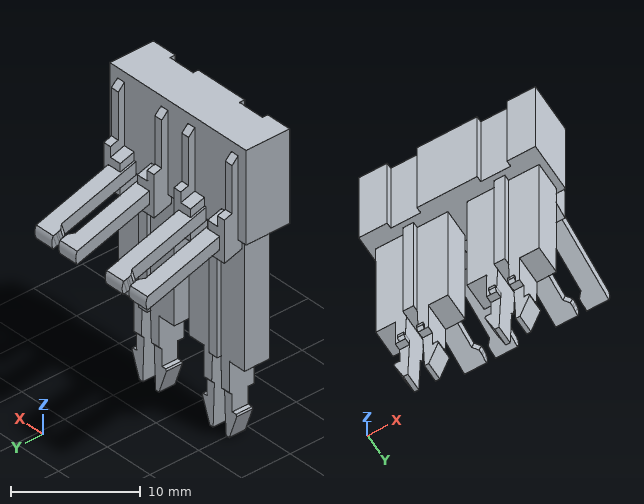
import cadquery as cq
import math

total_height = 28.6

housing_width = 15.95
housing_depth = 4.5
housing_height = 8.87
housing_bottom = total_height - housing_height
groove_width = 2.7
groove_depth = 0.55
groove_offset = 4.05

unit_offset = 4.12

leg_width = 6.52
leg_front = 1.55
leg_back = 4.12
leg_bottom = 7.45
rib_width = 0.97
rib_front = 1.0

pin_inner = rib_width / 2
pin_outer = 1.5
tip_inner = 0.75
tip_outer = 1.15
barb_reach = 2.03
barb_top = 2.6
barb_nose = 0.17
shoulder_height = 4.23
shoulder_chamfer = 0.25
shank_front = 2.17
shank_back = 3.83

bump_outer = 1.15
bump_top = 4.85
bump_reach = 0.25
bump_face = 0.35

block_inner = 1.0
block_step = 2.15
block_outer = 2.95
block_back = 5.92
ledge_top = 21.25
block_top = 22.25
block_bottom = 18.2
pad_back = 5.12
pad_top = 27.0

arm_slope = math.radians(17.2)
arm_inner = 0.8
arm_outer = 2.4
arm_thickness = 1.2
arm_root = leg_back
arm_end = 13.47
arm_end_bulge = 0.15
arm_top_at_block = 20.45
hook_reach = 0.4
hook_bulge = 0.03
hook_length = 1.25
hook_ramp = 0.45


def box(x0, x1, y0, y1, z0, z1):
    return cq.Workplane("XY").box(x1 - x0, y1 - y0, z1 - z0, centered=False).translate((x0, y0, z0))


def side_plate(outline, x0, x1):
    """Extrude a closed (Y, Z) outline from x0 to x1."""
    return outline.extrude(x1 - x0).translate((x0, 0, 0))


def slope_line(y, z_at_block):
    """Height at y of a line with the arm slope that passes z_at_block at the block's back."""
    return z_at_block + (block_back - y) * math.tan(arm_slope)


def housing():
    body = box(-housing_width / 2, housing_width / 2, 0, housing_depth, housing_bottom, total_height)
    for centre in (-groove_offset, groove_offset):
        x0 = centre - groove_width / 2
        body = body.cut(box(x0, x0 + groove_width, 0, groove_depth, housing_bottom, total_height))
    return body


def leg():
    slab = box(-leg_width / 2, leg_width / 2, leg_front, leg_back, leg_bottom, housing_bottom)
    rib = box(-rib_width / 2, rib_width / 2, rib_front, housing_depth, leg_bottom, housing_bottom)
    return slab.union(rib)


def pin():
    """Right-hand pin: barbed in the XZ plane, narrowed to a shank in the YZ plane."""
    barbed = (
        cq.Workplane("XZ")
        .moveTo(pin_inner, leg_bottom)
        .lineTo(tip_inner, 0)
        .lineTo(tip_outer, 0)
        .lineTo(barb_reach, barb_top - barb_nose)
        .lineTo(barb_reach - barb_nose / 2, barb_top)
        .lineTo(pin_outer, barb_top)
        .lineTo(pin_outer, leg_bottom)
        .close()
        .extrude(-housing_depth)
    )
    stepped = (
        cq.Workplane("YZ")
        .moveTo(leg_front, leg_bottom)
        .lineTo(leg_front, shoulder_height)
        .lineTo(shank_front, shoulder_height)
        .lineTo(shank_front, 0)
        .lineTo(shank_back, 0)
        .lineTo(shank_back, shoulder_height)
        .lineTo(leg_back, shoulder_height + shoulder_chamfer)
        .lineTo(leg_back, leg_bottom)
        .close()
    )
    return barbed.intersect(side_plate(stepped, 0, barb_reach)).union(bump())


def bump():
    outline = (
        cq.Workplane("YZ")
        .moveTo(shank_front, bump_top)
        .lineTo(leg_front - bump_reach, bump_top)
        .lineTo(leg_front - bump_reach, bump_top - bump_face)
        .lineTo(leg_front, shoulder_height)
        .lineTo(shank_front, shoulder_height)
        .close()
    )
    taper = (tip_inner - pin_inner) / leg_bottom
    inner = tip_inner - taper * bump_top
    return side_plate(outline, inner, bump_outer)


def sloped_block(top, x0, x1):
    """Block whose top and bottom follow the arm slope, with its top given at the rear face."""
    outline = (
        cq.Workplane("YZ")
        .moveTo(leg_back, slope_line(leg_back, top))
        .lineTo(block_back, top)
        .lineTo(block_back, block_bottom)
        .lineTo(leg_back, slope_line(leg_back, block_bottom))
        .close()
    )
    return side_plate(outline, x0, x1)


def block():
    """Right-hand support: a lower inner ledge and a taller outer block under a chamfered pad."""
    pad = (
        cq.Workplane("YZ")
        .moveTo(leg_back, block_top)
        .lineTo(pad_back, block_top)
        .lineTo(pad_back, pad_top)
        .lineTo(leg_back, pad_top + pad_back - leg_back)
        .close()
    )
    ledge = sloped_block(ledge_top, block_inner, block_step)
    outer = sloped_block(block_top, block_step, block_outer)
    return ledge.union(outer).union(side_plate(pad, block_step, block_outer))


def arm():
    """Right-hand sloping arm with an inward hook at its rounded free end."""
    drop = arm_thickness / math.cos(arm_slope)
    corner = arm_end - arm_end_bulge
    corner_top = slope_line(corner, arm_top_at_block)
    root_top = slope_line(arm_root, arm_top_at_block)
    side = (
        cq.Workplane("YZ")
        .moveTo(arm_root, root_top)
        .lineTo(corner, corner_top)
        .threePointArc((arm_end, corner_top - drop / 2), (corner, corner_top - drop))
        .lineTo(arm_root, root_top - drop)
        .close()
    )
    hook_tip = arm_inner - hook_reach
    bar = side_plate(side, hook_tip - hook_bulge, arm_outer)

    arm_plane = cq.Plane(
        origin=(0, corner, corner_top),
        xDir=(1, 0, 0),
        normal=(0, math.sin(arm_slope), math.cos(arm_slope)),
    )
    beyond_end = drop
    beyond_root = arm_end
    plan = (
        cq.Workplane(arm_plane)
        .moveTo(arm_outer, -beyond_root)
        .lineTo(arm_inner, -beyond_root)
        .lineTo(arm_inner, -hook_length)
        .lineTo(hook_tip, -hook_length + hook_ramp)
        .threePointArc((hook_tip - hook_bulge, -hook_length / 4), (hook_tip, 0))
        .lineTo(hook_tip, beyond_end)
        .lineTo(arm_outer, beyond_end)
        .close()
        .extrude(housing_depth, both=True)
    )
    return bar.intersect(plan)


def contact_unit():
    half = pin().union(block()).union(arm())
    return leg().union(half).union(half.mirror("YZ"))


result = housing()
for unit_centre in (-unit_offset, unit_offset):
    result = result.union(contact_unit().translate((unit_centre, 0, 0)))